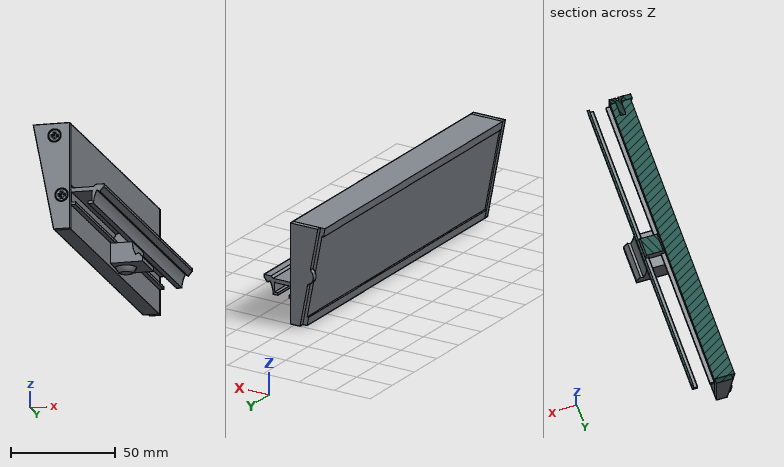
import cadquery as cq
import math

TOTAL_LENGTH = 165.0
CAP_THICKNESS = 2.5
HOUSING_LENGTH = TOTAL_LENGTH - 2 * CAP_THICKNESS
HALF_HOUSING = HOUSING_LENGTH / 2

HEIGHT = 52.1
TOP_DEPTH = 18.0
BOTTOM_DEPTH = 8.0
FACE_SHIFT = TOP_DEPTH - BOTTOM_DEPTH
FACE_ANGLE = math.atan2(FACE_SHIFT, HEIGHT)

RECESS_DEPTH = 0.8
RECESS_TOP = HEIGHT - 4.5
RECESS_BOTTOM = 4.5

RAIL_END = 34.3
JAW_MID = 11.7
RAIL_TOP = JAW_MID + 9.5
WEB_TOP = RAIL_TOP - 1.0
ROOT_FILLET = 2.0
RIB_START = 29.2
RIB_RISE_LENGTH = 1.2

CHANNEL_MID = 23.5
CHANNEL_WIDTH = 10.2
CHANNEL_TOP = 18.3
LIP_TOP = 13.4
LIP_BOTTOM = 12.0
SLOT_WIDTH = 6.3

MOUTH_BACK = 29.2
MOUTH_CORNER = (30.9, 6.8)
CATCH_POINT = (32.3, 6.0)
JAW_TIP_HALF = 8.2

CLAMP_LENGTH = 19.8
CLAMP_TOP = 11.4
CLAMP_BOTTOM = 1.5
CLAMP_START = 18.3
SCREW_SHANK_RADIUS = 3.0
CLAMP_HEAD_RADIUS = 5.1
CLAMP_HEAD_TIP_RADIUS = 3.1
CLAMP_HEAD_HEIGHT = 2.6
CLAMP_HEAD_ARC_RADIUS = 5.8
NUT_LENGTH = 9.9
NUT_WIDTH = 9.9
NUT_TOP_WIDTH = 6.3
NUT_TOP = 17.3
NUT_SHOULDER = 14.8
NUT_NECK_BOTTOM = 12.4

CAP_SCREW_AXES = [(10.5, HEIGHT - 6.0), (14.0, HEIGHT - 35.5)]
CAP_SCREW_HEAD_RADIUS = 3.3
CAP_SCREW_RIM_RADIUS = 2.8
CAP_SCREW_RIM_DEPTH = 0.3
CAP_SCREW_HEAD_DEPTH = 2.0
CAP_SCREW_SHANK_RADIUS = 1.5
CAP_SCREW_LENGTH = 9.9
CROSS_SPAN = 3.5
CROSS_WIDTH = 1.3
CROSS_DEPTH = 1.6
CROSS_TAPER = 10.0

REAR_CAP_INSET = 2.5
BOSS_RADIUS = 4.5
BOSS_HEIGHT = 26.5


def extrude_along_y(points, y_start, length):
    """Prism of an XZ polygon, running from y_start towards +Y."""
    profile = cq.Workplane("XZ", origin=(0, y_start, 0)).polyline(points).close()
    return profile.extrude(-length)


def face_x(z):
    """X of the sloped face at height z."""
    return FACE_SHIFT * (HEIGHT - z) / HEIGHT


def wedge_points(inset=0.0):
    """Tapered cross-section, with its sloped edge set back in X by inset."""
    return [
        (inset, HEIGHT),
        (TOP_DEPTH, HEIGHT),
        (TOP_DEPTH, 0),
        (FACE_SHIFT + inset, 0),
    ]


def mouth_cutter(y_start, length):
    """Space between the jaws: a curved back, two catches and a flared opening."""
    corner_x, corner_half = MOUTH_CORNER
    catch_x, catch_half = CATCH_POINT
    return (
        cq.Workplane("XZ", origin=(0, y_start, 0))
        .moveTo(corner_x, JAW_MID + corner_half)
        .lineTo(catch_x, JAW_MID + catch_half)
        .lineTo(RAIL_END, JAW_MID + JAW_TIP_HALF)
        .lineTo(RAIL_END, JAW_MID - JAW_TIP_HALF)
        .lineTo(catch_x, JAW_MID - catch_half)
        .lineTo(corner_x, JAW_MID - corner_half)
        .threePointArc((MOUTH_BACK, JAW_MID), (corner_x, JAW_MID + corner_half))
        .close()
        .extrude(-length)
    )


def screw_body(x, z):
    """Countersunk screw without its drive; its head is flush with the front cap."""
    cone_end = CAP_SCREW_HEAD_DEPTH
    profile = [
        (0, 0),
        (CAP_SCREW_HEAD_RADIUS, 0),
        (CAP_SCREW_SHANK_RADIUS, cone_end),
        (CAP_SCREW_SHANK_RADIUS, CAP_SCREW_LENGTH),
        (0, CAP_SCREW_LENGTH),
    ]
    body = cq.Workplane("XY").polyline(profile).close().revolve(360, (0, 0, 0), (0, 1, 0))
    return body.translate((x, -TOTAL_LENGTH / 2, z))


def make_cap_screw(x, z):
    """Countersunk screw with a bevelled rim and a cross drive."""
    face = cq.Workplane("XZ", origin=(x, -TOTAL_LENGTH / 2, z))
    rim = (
        cq.Workplane("XY")
        .moveTo(CAP_SCREW_RIM_RADIUS, 0)
        .lineTo(CAP_SCREW_HEAD_RADIUS, 0)
        .lineTo(CAP_SCREW_HEAD_RADIUS, CAP_SCREW_RIM_DEPTH)
        .close()
        .revolve(360, (0, 0, 0), (0, 1, 0))
        .translate((x, -TOTAL_LENGTH / 2, z))
    )
    across = face.rect(CROSS_SPAN, CROSS_WIDTH).extrude(-CROSS_DEPTH, taper=CROSS_TAPER)
    upright = face.rect(CROSS_WIDTH, CROSS_SPAN).extrude(-CROSS_DEPTH, taper=CROSS_TAPER)
    return screw_body(x, z).cut(rim).cut(across).cut(upright)


def drill_for_cap_screws(body):
    """Countersunk holes that match the cap screws."""
    for x, z in CAP_SCREW_AXES:
        body = body.cut(screw_body(x, z))
    return body


def make_rail():
    """Jaw rail with a T-channel open at the bottom."""
    outline = [
        (TOP_DEPTH, WEB_TOP),
        (RIB_START, WEB_TOP),
        (RIB_START + RIB_RISE_LENGTH, RAIL_TOP),
        (RAIL_END, RAIL_TOP),
        (RAIL_END, LIP_BOTTOM),
        (TOP_DEPTH, LIP_BOTTOM),
    ]
    half_channel = CHANNEL_WIDTH / 2
    half_slot = SLOT_WIDTH / 2
    channel = [
        (CHANNEL_MID - half_channel, CHANNEL_TOP),
        (CHANNEL_MID + half_channel, CHANNEL_TOP),
        (CHANNEL_MID + half_channel, LIP_TOP),
        (CHANNEL_MID + half_slot, LIP_TOP),
        (CHANNEL_MID + half_slot, LIP_BOTTOM),
        (CHANNEL_MID - half_slot, LIP_BOTTOM),
        (CHANNEL_MID - half_slot, LIP_TOP),
        (CHANNEL_MID - half_channel, LIP_TOP),
    ]
    rail = extrude_along_y(outline, -HALF_HOUSING, HOUSING_LENGTH)
    rail = rail.cut(extrude_along_y(channel, -HALF_HOUSING, HOUSING_LENGTH))
    return rail.cut(mouth_cutter(-HALF_HOUSING, HOUSING_LENGTH))


def make_root_fillet():
    """Concave strip in the corner between the housing and the rail web."""
    return (
        cq.Workplane("XZ", origin=(TOP_DEPTH, -HALF_HOUSING, WEB_TOP))
        .lineTo(ROOT_FILLET, 0)
        .radiusArc((0, ROOT_FILLET), ROOT_FILLET)
        .close()
        .extrude(-HOUSING_LENGTH)
    )


def make_housing():
    """Tapered bar with a recessed sloped face and the rail on its back."""
    bar = extrude_along_y(wedge_points(), -HALF_HOUSING, HOUSING_LENGTH)
    inward_x = RECESS_DEPTH * math.cos(FACE_ANGLE)
    inward_z = RECESS_DEPTH * math.sin(FACE_ANGLE)
    recess = [
        (face_x(RECESS_TOP), RECESS_TOP),
        (face_x(RECESS_TOP) + inward_x, RECESS_TOP + inward_z),
        (face_x(RECESS_BOTTOM) + inward_x, RECESS_BOTTOM + inward_z),
        (face_x(RECESS_BOTTOM), RECESS_BOTTOM),
    ]
    bar = bar.cut(extrude_along_y(recess, -HALF_HOUSING, HOUSING_LENGTH))
    return drill_for_cap_screws(bar.union(make_rail()).union(make_root_fillet()))


def make_front_cap():
    """Plate with the full housing outline and two countersunk holes."""
    plate = extrude_along_y(wedge_points(), -TOTAL_LENGTH / 2, CAP_THICKNESS)
    return drill_for_cap_screws(plate)


def make_rear_cap():
    """Set-back plate with a round boss reaching out to the plane of the sloped face."""
    boss_x = face_x(BOSS_HEIGHT) + BOSS_RADIUS / math.cos(FACE_ANGLE)
    plate = extrude_along_y(wedge_points(REAR_CAP_INSET), HALF_HOUSING, CAP_THICKNESS)
    boss = (
        cq.Workplane("XZ", origin=(boss_x, HALF_HOUSING, BOSS_HEIGHT))
        .circle(BOSS_RADIUS)
        .extrude(-CAP_THICKNESS)
    )
    return plate.union(boss)


def make_clamp():
    """Lower jaw with its screw and the T-nut that hangs in the rail channel."""
    block = cq.Workplane("XY").box(
        RAIL_END - CLAMP_START, CLAMP_LENGTH, CLAMP_TOP - CLAMP_BOTTOM, centered=(False, True, False)
    )
    block = block.translate((CLAMP_START, 0, CLAMP_BOTTOM))
    jaw = block.cut(mouth_cutter(-CLAMP_LENGTH / 2, CLAMP_LENGTH))

    head = (
        cq.Workplane("XZ", origin=(CHANNEL_MID, 0, CLAMP_BOTTOM))
        .lineTo(CLAMP_HEAD_RADIUS, 0)
        .radiusArc((CLAMP_HEAD_TIP_RADIUS, -CLAMP_HEAD_HEIGHT), CLAMP_HEAD_ARC_RADIUS)
        .lineTo(0, -CLAMP_HEAD_HEIGHT)
        .close()
        .revolve(360, (0, 0, 0), (0, 1, 0))
    )
    shank = (
        cq.Workplane("XY", origin=(CHANNEL_MID, 0, CLAMP_TOP))
        .circle(SCREW_SHANK_RADIUS)
        .extrude(NUT_NECK_BOTTOM - CLAMP_TOP)
    )
    half_nut = NUT_WIDTH / 2
    half_top = NUT_TOP_WIDTH / 2
    half_neck = SLOT_WIDTH / 2
    nut_outline = [
        (CHANNEL_MID - half_top, NUT_TOP),
        (CHANNEL_MID + half_top, NUT_TOP),
        (CHANNEL_MID + half_nut, NUT_SHOULDER),
        (CHANNEL_MID + half_nut, LIP_TOP),
        (CHANNEL_MID + half_neck, LIP_TOP),
        (CHANNEL_MID + half_neck, NUT_NECK_BOTTOM),
        (CHANNEL_MID - half_neck, NUT_NECK_BOTTOM),
        (CHANNEL_MID - half_neck, LIP_TOP),
        (CHANNEL_MID - half_nut, LIP_TOP),
        (CHANNEL_MID - half_nut, NUT_SHOULDER),
    ]
    nut = extrude_along_y(nut_outline, -NUT_LENGTH / 2, NUT_LENGTH)
    return jaw.union(head).union(shank).union(nut)


housing = make_housing()
front_cap = make_front_cap()
rear_cap = make_rear_cap()
clamp = make_clamp()
cap_screws = [make_cap_screw(x, z) for x, z in CAP_SCREW_AXES]

result = cq.Compound.makeCompound([
    housing.val(),
    front_cap.val(),
    rear_cap.val(),
    clamp.val(),
    *[screw.val() for screw in cap_screws],
])